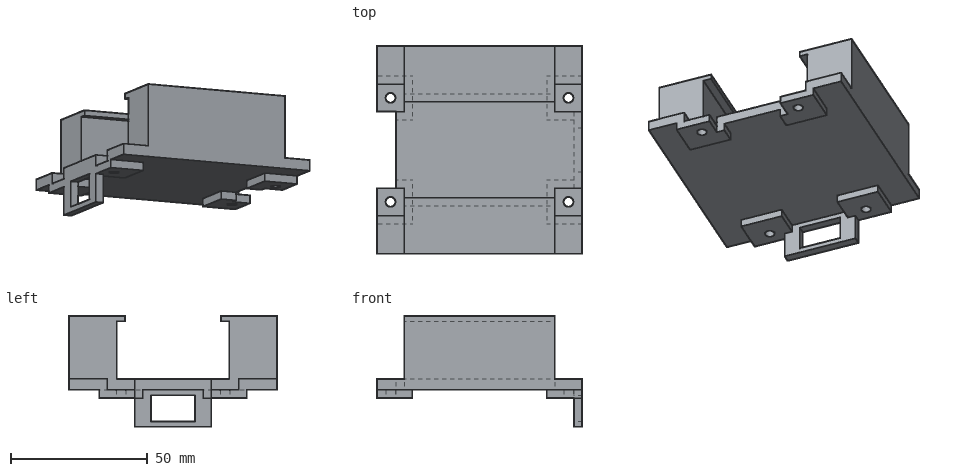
import cadquery as cq

plate_length = 75.0
plate_width = 76.0
plate_thickness = 4.0

pocket_size = 10.0
pocket_inner_y = 14.0
pad_wall = 3.0
pad_thickness = 3.0
screw_diameter = 3.5

rail_length = plate_length - 2 * pocket_size
rail_height = 23.0
channel_width = 41.0
lip_overhang = 3.0
lip_thickness = 2.0

notch_depth = 7.0
notch_width = 2 * pocket_inner_y

tab_thickness = 3.0
tab_width = 2 * pocket_inner_y
tab_drop = 13.5
window_width = 16.0
window_margin = 2.0

half_length = plate_length / 2
half_width = plate_width / 2
rail_top = plate_thickness + rail_height


def box_between(x_range, y_range, z_range):
    """Box spanning the given ranges along X, Y and Z."""
    spans = (x_range, y_range, z_range)
    size = [high - low for low, high in spans]
    centre = tuple((low + high) / 2 for low, high in spans)
    return cq.Workplane("XY").box(*size).translate(centre)


def mirror_to_four_corners(shape):
    """Shape in the +X +Y quadrant, repeated in all four quadrants."""
    pair = shape.union(shape.mirror("YZ"))
    return pair.union(pair.mirror("XZ"))


def make_plate():
    return box_between(
        (-half_length, half_length),
        (-half_width, half_width),
        (0, plate_thickness),
    )


def make_rails():
    wall_y = channel_width / 2
    lip_y = wall_y - lip_overhang
    lip_bottom = rail_top - lip_thickness
    profile = [
        (wall_y, 0),
        (half_width, 0),
        (half_width, rail_top),
        (lip_y, rail_top),
        (lip_y, lip_bottom),
        (wall_y, lip_bottom),
    ]
    rail = cq.Workplane("YZ").polyline(profile).close().extrude(rail_length / 2, both=True)
    return rail.union(rail.mirror("XZ"))


def make_pads():
    pad = box_between(
        (half_length - pocket_size - pad_wall, half_length),
        (pocket_inner_y - pad_wall, pocket_inner_y + pocket_size + pad_wall),
        (-pad_thickness, 0),
    )
    return mirror_to_four_corners(pad)


def make_pockets():
    pocket = box_between(
        (half_length - pocket_size, half_length),
        (pocket_inner_y, pocket_inner_y + pocket_size),
        (0, plate_thickness),
    )
    return mirror_to_four_corners(pocket)


def make_screw_holes():
    hole = (
        cq.Workplane("XY", origin=(0, 0, -pad_thickness))
        .center(half_length - pocket_size / 2, pocket_inner_y + pocket_size / 2)
        .circle(screw_diameter / 2)
        .extrude(pad_thickness)
    )
    return mirror_to_four_corners(hole)


def make_notch():
    return box_between(
        (-half_length, -half_length + notch_depth),
        (-notch_width / 2, notch_width / 2),
        (-pad_thickness, plate_thickness),
    )


def make_tab():
    tab_x = (half_length - tab_thickness, half_length)
    tab = box_between(tab_x, (-tab_width / 2, tab_width / 2), (-tab_drop, 0))
    window = box_between(
        tab_x,
        (-window_width / 2, window_width / 2),
        (-tab_drop + window_margin, -window_margin),
    )
    return tab.cut(window)


body = make_plate().union(make_rails()).union(make_pads()).union(make_tab())
result = body.cut(make_pockets()).cut(make_screw_holes()).cut(make_notch())